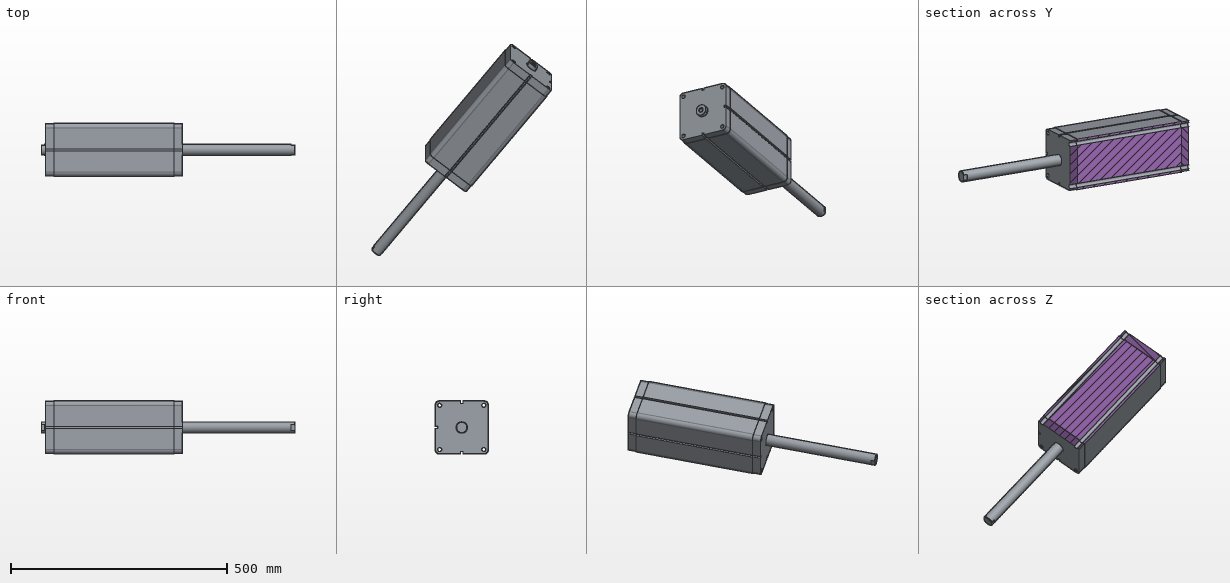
import cadquery as cq
import math

overall_length = 587.0
stub_length = 9.5
cap_length = 19.5
barrel_length = 278.0

barrel_side = 124.0
barrel_corner_radius = 10.5
cap_inset = 1.0
slot_width = 4.5
slot_floor_offset = 56.0
bolt_offset = 51.0
bolt_diameter = 9.0

rod_diameter = 26.5
flat_spacing = 23.0
rear_flat_length = 7.5
front_flat_length = 9.5
front_chamfer = 1.0
socket_diameter = 9.5
socket_mouth_diameter = 12.0
socket_depth = 17.5
drill_point_angle = 118.0

cap_side = barrel_side - 2 * cap_inset
cap_corner_radius = barrel_corner_radius - cap_inset
rod_start = -overall_length / 2
rod_end = overall_length / 2
rear_cap_start = rod_start + stub_length
barrel_start = rear_cap_start + cap_length
front_cap_start = barrel_start + barrel_length


def plane_at(x):
    """Plane normal to +X, with local x along Y and local y along Z."""
    return cq.Workplane("YZ", origin=(x, 0, 0))


def cylinder(x, length, diameter):
    return plane_at(x).circle(diameter / 2).extrude(length)


def slots(x, length):
    """Lengthwise slots in the -Y, +Z and -Z faces."""
    depth = barrel_side / 2 - slot_floor_offset
    centre = slot_floor_offset + depth / 2
    side_slot = plane_at(x).center(-centre, 0).rect(depth, slot_width).extrude(length)
    level_slots = (
        plane_at(x)
        .pushPoints([(0, centre), (0, -centre)])
        .rect(slot_width, depth)
        .extrude(length)
    )
    return side_slot.union(level_slots)


def make_square_section(x, length, side, corner_radius):
    """Rounded square block with slots, bolt holes and a bore for the rod."""
    block = plane_at(x).rect(side, side).extrude(length).edges("|X").fillet(corner_radius)
    bolt_holes = (
        plane_at(x)
        .rect(2 * bolt_offset, 2 * bolt_offset, forConstruction=True)
        .vertices()
        .circle(bolt_diameter / 2)
        .extrude(length)
    )
    bore = cylinder(x, length, rod_diameter)
    return block.cut(slots(x, length)).cut(bolt_holes).cut(bore)


def wrench_flats(x, length):
    """Material beyond the two flats on the -Y and +Y sides of the rod."""
    strip = (rod_diameter - flat_spacing) / 2
    centre = (rod_diameter + flat_spacing) / 4
    return (
        plane_at(x)
        .pushPoints([(centre, 0), (-centre, 0)])
        .rect(strip, rod_diameter)
        .extrude(length)
    )


def socket():
    """Countersunk blind hole with a drill point in the rear end of the rod."""
    radius = socket_diameter / 2
    mouth_radius = socket_mouth_diameter / 2
    countersink_depth = mouth_radius - radius
    point_length = radius / math.tan(math.radians(drill_point_angle / 2))
    return (
        cq.Workplane("XY", origin=(rod_start, 0, 0))
        .lineTo(0, mouth_radius)
        .lineTo(countersink_depth, radius)
        .lineTo(socket_depth, radius)
        .lineTo(socket_depth + point_length, 0)
        .close()
        .revolve(360, (0, 0, 0), (1, 0, 0))
    )


def make_rod():
    rod = cylinder(rod_start, overall_length, rod_diameter).faces(">X").chamfer(front_chamfer)
    rod = rod.cut(wrench_flats(rod_start, rear_flat_length))
    rod = rod.cut(wrench_flats(rod_end - front_flat_length, front_flat_length))
    return rod.cut(socket())


barrel = make_square_section(barrel_start, barrel_length, barrel_side, barrel_corner_radius)
end_caps = [
    make_square_section(x, cap_length, cap_side, cap_corner_radius)
    for x in (rear_cap_start, front_cap_start)
]
rod = make_rod()

result = cq.Compound.makeCompound([barrel.val(), *[cap.val() for cap in end_caps], rod.val()])